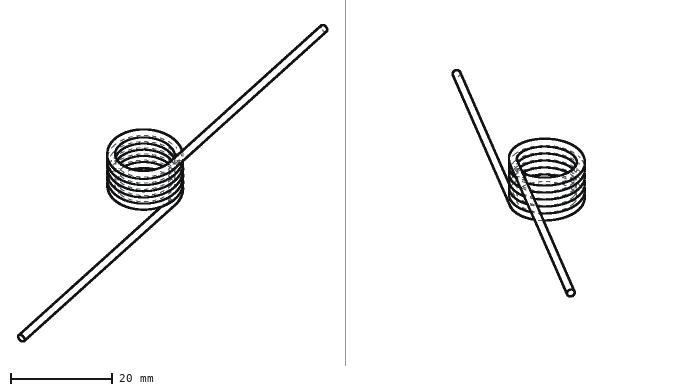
import cadquery as cq

coil_outer_diameter = 15.0
overall_length = 101.6
overall_height = 11.3
turns = 6
turn_gap = 0.01

pitch = (overall_height + turn_gap) / (turns + 1)
wire_diameter = pitch - turn_gap

coil_radius = (coil_outer_diameter - wire_diameter) / 2
coil_rise = turns * pitch
arm_length = overall_length / 2


def wire_section(height, y_direction):
    """Round wire section at the coil end, facing along the given Y direction."""
    plane = cq.Plane(origin=(coil_radius, 0, height), xDir=(1, 0, 0), normal=(0, y_direction, 0))
    return cq.Workplane(plane).circle(wire_diameter / 2)


def make_arm(height, y_direction):
    """Straight arm leaving the coil along Y."""
    return wire_section(height, y_direction).extrude(arm_length)


def make_coil():
    """Right-handed helical coil about Z, starting on the +X side."""
    helix = cq.Wire.makeHelix(pitch, coil_rise, coil_radius)
    return wire_section(0, 1).sweep(cq.Workplane(helix), isFrenet=True)


lower_arm = make_arm(0, -1)
upper_arm = make_arm(coil_rise, 1)
result = make_coil().union(lower_arm).union(upper_arm)